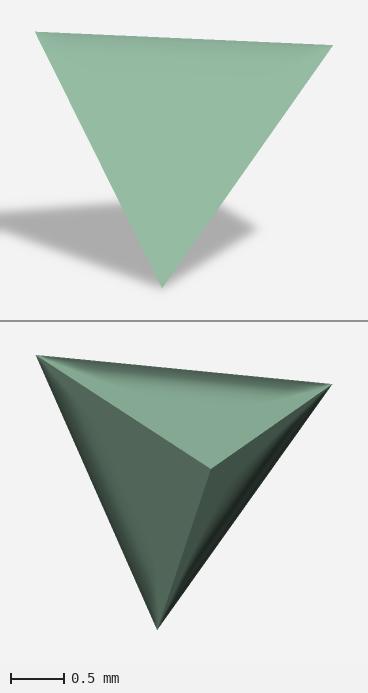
import cadquery as cq

side = 2.0
height = 2.01
half_side = side / 2
half_height = height / 2

near_top = cq.Vector(-half_side, -half_side, half_height)
far_top = cq.Vector(half_side, half_side, half_height)
left_bottom = cq.Vector(-half_side, half_side, -half_height)
right_bottom = cq.Vector(half_side, -half_side, -half_height)


def triangle(*corners):
    return cq.Face.makeFromWires(cq.Wire.makePolygon(corners, close=True))


faces = [
    triangle(near_top, left_bottom, right_bottom),
    triangle(near_top, right_bottom, far_top),
    triangle(near_top, far_top, left_bottom),
    triangle(far_top, right_bottom, left_bottom),
]

result = cq.Workplane(obj=cq.Solid.makeSolid(cq.Shell.makeShell(faces)))